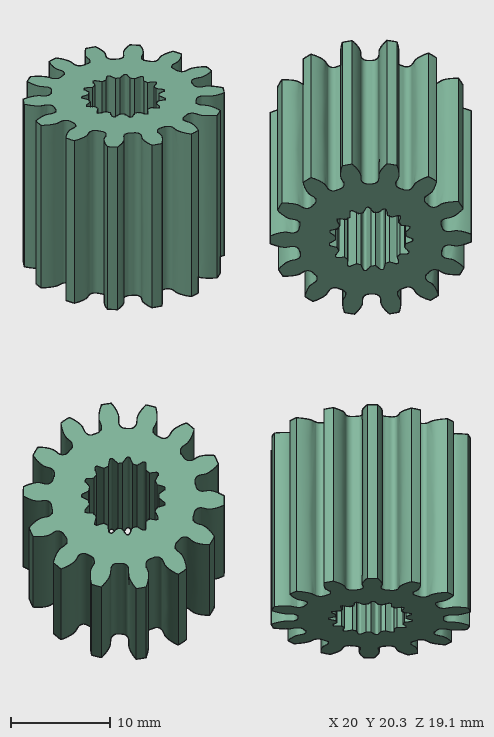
import cadquery as cq
import math


face_width = 19.05
tooth_count = 14
tip_radius = 10.15
module = 2 * tip_radius / (tooth_count + 2)
pressure_angle = math.radians(14.5)
root_radius = 7.35
waist_half_width = 0.9
root_fillet = 0.65
involute_steps = 8

spline_count = 15
bore_radius = 3.58
groove_depth = 0.67
groove_tip_radius = 0.22
groove_flank_angle = math.radians(28)

pitch_radius = module * tooth_count / 2
base_radius = pitch_radius * math.cos(pressure_angle)


def polar(radius, angle):
    return (radius * math.cos(angle), radius * math.sin(angle))


def mirrored(point):
    return (point[0], -point[1])


def turned(point, angle):
    return (
        point[0] * math.cos(angle) - point[1] * math.sin(angle),
        point[0] * math.sin(angle) + point[1] * math.cos(angle),
    )


def involute(angle):
    return math.tan(angle) - angle


def involute_flank():
    """Points of the upper flank of a tooth along +X, from base circle to tip."""
    base_half_angle = math.pi / (2 * tooth_count) + involute(pressure_angle)
    points = []
    for step in range(involute_steps + 1):
        radius = base_radius + (tip_radius - base_radius) * step / involute_steps
        roll = math.acos(base_radius / radius)
        points.append(polar(radius, base_half_angle - involute(roll)))
    return points


def root_fillet_points():
    """Start, middle and end of the fillet from the root circle up to the tooth waist."""
    centre_y = waist_half_width + root_fillet
    centre_x = math.sqrt((root_radius + root_fillet) ** 2 - centre_y ** 2)
    towards_axis = math.atan2(-centre_y, -centre_x)
    towards_tooth = -math.pi / 2
    points = []
    for angle in (towards_axis, (towards_axis + towards_tooth) / 2, towards_tooth):
        dx, dy = polar(root_fillet, angle)
        points.append((centre_x + dx, centre_y + dy))
    return points


def gear_blank():
    flank = involute_flank()
    root_end, fillet_middle, waist = root_fillet_points()
    pitch = 2 * math.pi / tooth_count
    first_tooth = math.pi / 2
    free_tangents = [None] * len(flank)
    outline = cq.Workplane("XY").moveTo(*turned(mirrored(root_end), first_tooth))
    for tooth in range(tooth_count):
        turn = first_tooth + tooth * pitch

        def place(point):
            return turned(point, turn)

        outwards = place((1, 0))
        inwards = place((-1, 0))
        outline = (
            outline
            .threePointArc(place(mirrored(fillet_middle)), place(mirrored(waist)))
            .spline(
                [place(mirrored(point)) for point in flank],
                tangents=[outwards] + free_tangents,
                includeCurrent=True,
            )
            .threePointArc(place((tip_radius, 0)), place(flank[-1]))
            .spline(
                [place(point) for point in flank[-2::-1] + [waist]],
                tangents=free_tangents + [inwards],
                includeCurrent=True,
            )
            .threePointArc(place(fillet_middle), place(root_end))
            .threePointArc(
                place(polar(root_radius, pitch / 2)),
                turned(mirrored(root_end), turn + pitch),
            )
        )
    return outline.close().extrude(face_width)


def spline_groove():
    """Tapered groove with a rounded bottom, cut outwards from the bore along +X."""
    groove_bottom = bore_radius + groove_depth
    centre_x = groove_bottom - groove_tip_radius
    tangent = (
        centre_x + groove_tip_radius * math.sin(groove_flank_angle),
        groove_tip_radius * math.cos(groove_flank_angle),
    )
    inner_x = bore_radius - groove_depth / 2
    inner = (inner_x, tangent[1] + (tangent[0] - inner_x) * math.tan(groove_flank_angle))
    return (
        cq.Workplane("XY")
        .moveTo(*mirrored(inner))
        .lineTo(*mirrored(tangent))
        .threePointArc((groove_bottom, 0), tangent)
        .lineTo(*inner)
        .close()
        .extrude(face_width)
    )


def spline_bore():
    bore = cq.Workplane("XY").circle(bore_radius).extrude(face_width)
    groove = spline_groove()
    for index in range(spline_count):
        bore = bore.union(groove.rotate((0, 0, 0), (0, 0, 1), index * 360 / spline_count))
    return bore


result = gear_blank().cut(spline_bore())